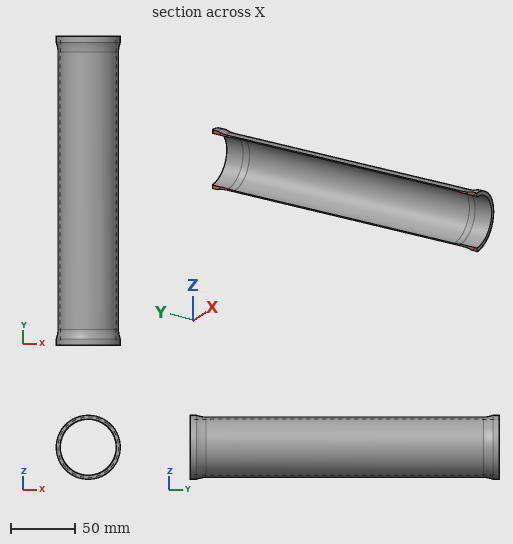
import cadquery as cq
import math

length = 240.0
end_radius = 25.0
tube_radius = 23.5
end_bore_radius = 21.5
tube_bore_radius = 22.0

collar_length = 4.8
flare_length = 12.5
bore_land_length = 15.0
bore_relief_start = 20.5

half = length / 2
collar_y = half - collar_length
flare_y = half - flare_length
land_y = half - bore_land_length
relief_y = half - bore_relief_start


def flare_middle(tangent_point, edge_point):
    """Middle of an arc that leaves tangent_point parallel to Y and ends at edge_point."""
    run = edge_point[0] - tangent_point[0]
    rise = edge_point[1] - tangent_point[1]
    arc_radius = (run**2 + rise**2) / (2 * rise)
    half_angle = math.asin(run / arc_radius) / 2
    return (
        tangent_point[0] + arc_radius * math.sin(half_angle),
        tangent_point[1] + arc_radius * (1 - math.cos(half_angle)),
    )


def mirrored(point):
    """The matching point at the other end of the tube."""
    return (-point[0], point[1])


flare_start = (flare_y, tube_radius)
flare_edge = (collar_y, end_radius)
flare_mid = flare_middle(flare_start, flare_edge)
relief_start = (relief_y, tube_bore_radius)
land_edge = (land_y, end_bore_radius)
relief_mid = flare_middle(relief_start, land_edge)

wall_section = (
    cq.Workplane("YZ")
    .moveTo(-half, end_radius)
    .lineTo(*mirrored(flare_edge))
    .threePointArc(mirrored(flare_mid), mirrored(flare_start))
    .lineTo(*flare_start)
    .threePointArc(flare_mid, flare_edge)
    .lineTo(half, end_radius)
    .lineTo(half, end_bore_radius)
    .lineTo(*land_edge)
    .threePointArc(relief_mid, relief_start)
    .lineTo(*mirrored(relief_start))
    .threePointArc(mirrored(relief_mid), mirrored(land_edge))
    .lineTo(-half, end_bore_radius)
    .close()
)
result = wall_section.revolve(360, (0, 0, 0), (1, 0, 0))